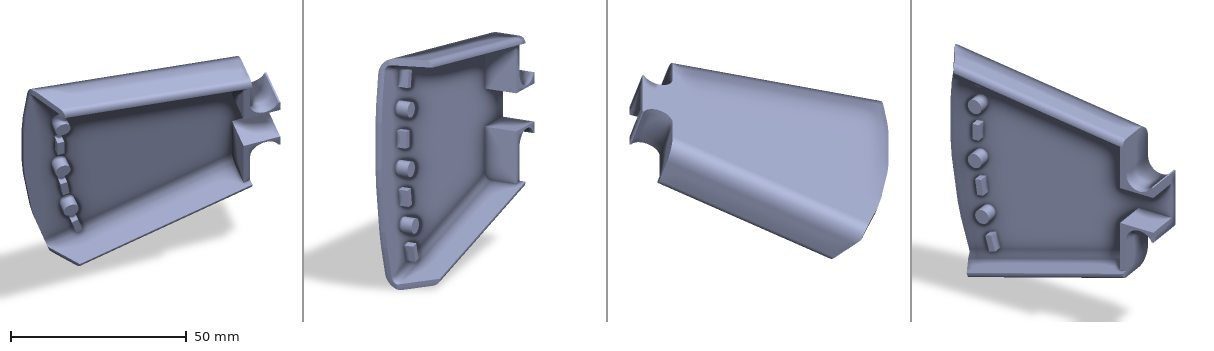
import cadquery as cq
import math

length = 73.7
depth = 14.0
wall = 2.0
facet_step = 8.0
facet_distance = 136.9
facet_half_width = 7.0
top_ray = facet_step
bottom_ray = -2 * facet_step
centre_y = facet_distance
centre_z = 5.1

bend_outer_radius = 5.0
bend_inner_radius = 2.0
tip_radius = 1.9
end_cut_angle = 30.0
end_cut_start = 3.25

shoulder_y = 64.65
notch_radius = 4.5
notch_y = shoulder_y + notch_radius
notch_z = 10.9
tail_half_height = 9.0
rib_inner_z = 5.7
rib_depth = 12.1

peg_diameter = 4.5
peg_height = 4.0
fixing_distance = 126.8
block_width = 5.0
block_length = 2.0
block_height = 3.0


def polar(angle, outward, sideways=0.0):
    """(y, z) of a point in the frame of the ray at the given angle."""
    a = math.radians(angle)
    return (
        centre_y - outward * math.cos(a) + sideways * math.sin(a),
        centre_z + outward * math.sin(a) + sideways * math.cos(a),
    )


def side_point(angle, sideways, y):
    """(y, z) where a line parallel to a ray reaches the given y."""
    a = math.radians(angle)
    outward = (centre_y - y + sideways * math.sin(a)) / math.cos(a)
    return polar(angle, outward, sideways)


def prism(points, x_start, x_end):
    plane = cq.Workplane("YZ").workplane(offset=x_start)
    return plane.polyline(points).close().extrude(x_end - x_start)


def box(x, y, z):
    """Box from (low, high) ranges along each axis."""
    solid = cq.Workplane("XY").box(x[1] - x[0], y[1] - y[0], z[1] - z[0], centered=False)
    return solid.translate((x[0], y[0], z[0]))


def on_ray(solid, angle):
    """Move a solid from the ray along -Y at the origin to its polar position."""
    return solid.rotate((0, 0, 0), (1, 0, 0), -angle).translate((0, centre_y, centre_z))


def outer_body():
    points = [side_point(bottom_ray, -facet_half_width, shoulder_y)]
    for step in range(-2, 2):
        for side in (-facet_half_width, facet_half_width):
            points.append(polar(step * facet_step, facet_distance, side))
    points.append(side_point(top_ray, facet_half_width, shoulder_y))
    body = prism(points, 0, depth)
    for selector, radius in (("<X", bend_outer_radius), (">X", tip_radius)):
        for ray, side in ((top_ray, facet_half_width), (bottom_ray, -facet_half_width)):
            y, z = polar(ray, (facet_distance + centre_y - shoulder_y) / 2, side)
            x = 0 if selector == "<X" else depth
            edge = cq.selectors.NearestToPointSelector((x, y, z))
            body = body.faces(selector).edges(edge).fillet(radius)
    return body


def cavity():
    """Space between the side walls, open at both Y ends."""
    inner = facet_half_width - wall
    front_y = -length
    points = [
        side_point(bottom_ray, -inner, front_y),
        side_point(top_ray, inner, front_y),
        side_point(top_ray, inner, length),
        side_point(bottom_ray, -inner, length),
    ]
    space = prism(points, wall, 2 * depth)
    for ray, side in ((top_ray, inner), (bottom_ray, -inner)):
        edge = cq.selectors.NearestToPointSelector((wall, *side_point(ray, side, 0)))
        space = space.faces("<X").edges(edge).fillet(bend_inner_radius)
    return space


def end_cut(angle):
    """Wedge that slopes the -Y end of one side wall."""
    reach = 2 * depth
    run = reach * math.tan(math.radians(end_cut_angle))
    wedge = (
        cq.Workplane("XY")
        .polyline([
            (end_cut_start, -facet_distance),
            (end_cut_start + reach, -facet_distance + run),
            (end_cut_start + reach, -facet_distance - wall),
            (end_cut_start, -facet_distance - wall),
        ])
        .close()
        .extrude(facet_half_width, both=True)
    )
    return on_ray(wedge, angle)


def tail_and_end_wall(pocket):
    tail = box((0, wall), (shoulder_y - wall, length), (-tail_half_height, tail_half_height))
    for side in (1, -1):
        hook_z = sorted((side * rib_inner_z, side * tail_half_height))
        root_z = sorted((side * rib_inner_z, side * notch_z))
        wall_z = sorted((side * rib_inner_z, side * length))
        tail = tail.union(box((0, rib_depth), (shoulder_y, length), hook_z))
        tail = tail.union(box((0, rib_depth), (shoulder_y, notch_y), root_z))
        end_wall = box((wall, rib_depth), (shoulder_y - wall, shoulder_y), wall_z)
        tail = tail.union(end_wall.intersect(pocket))
    return tail


def notches():
    centres = [(notch_y, notch_z), (notch_y, -notch_z)]
    return cq.Workplane("YZ").pushPoints(centres).circle(notch_radius).extrude(depth)


pocket = cavity()
result = outer_body().cut(pocket)
for ray in (top_ray, bottom_ray):
    result = result.cut(end_cut(ray))
result = result.union(tail_and_end_wall(pocket)).cut(notches())

for step in (-1.5, -0.5, 0.5):
    peg = cq.Workplane("YZ").circle(peg_diameter / 2).extrude(wall + peg_height)
    result = result.union(on_ray(peg.translate((0, -fixing_distance, 0)), step * facet_step))
for step in range(-2, 2):
    block = box(
        (wall / 2, wall + block_height),
        (-fixing_distance - block_length / 2, -fixing_distance + block_length / 2),
        (-block_width / 2, block_width / 2),
    )
    result = result.union(on_ray(block, step * facet_step))